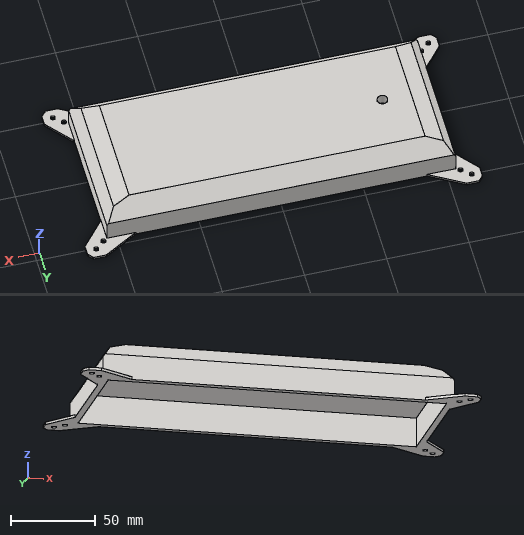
import cadquery as cq

overall_length = 240.2
overall_width = 114.8
overall_height = 25.0

body_length = 212.0
body_width = 90.3

side_bevel = 10.0

end_wall_height = 13.5
end_knee_height = 21.5
end_knee_inset = 5.8
end_top_inset = 16.0

wall_thickness = 4.0
cavity_height = 17.8

foot_thickness = 1.7
foot_tip_cut_in = 3.0
foot_tip_cut_down = 3.4
foot_flat_in = 10.5
foot_flat_down = 9.5
foot_reach_in = 31.7
foot_reach_down = 26.5
screw_hole_diameter = 3.0
screw_hole_offsets = [(6.0, 6.0), (11.5, 10.8)]

top_hole_diameter = 6.2
top_hole_x = -72.5
top_hole_y = 2.0


def make_end_profile_prism():
    """Lengthwise profile with two-step bevelled ends, extruded across the width."""
    half_length = body_length / 2
    knee_x = half_length - end_knee_inset
    top_x = half_length - end_top_inset
    return (
        cq.Workplane("XZ")
        .moveTo(-half_length, 0)
        .lineTo(half_length, 0)
        .lineTo(half_length, end_wall_height)
        .lineTo(knee_x, end_knee_height)
        .lineTo(top_x, overall_height)
        .lineTo(-top_x, overall_height)
        .lineTo(-knee_x, end_knee_height)
        .lineTo(-half_length, end_wall_height)
        .close()
        .extrude(body_width / 2, both=True)
    )


def make_side_profile_prism():
    """Crosswise profile with bevelled top edges, extruded along the length."""
    half_width = body_width / 2
    top_y = half_width - side_bevel
    bevel_start = overall_height - side_bevel
    return (
        cq.Workplane("YZ")
        .moveTo(-half_width, 0)
        .lineTo(half_width, 0)
        .lineTo(half_width, bevel_start)
        .lineTo(top_y, overall_height)
        .lineTo(-top_y, overall_height)
        .lineTo(-half_width, bevel_start)
        .close()
        .extrude(body_length / 2, both=True)
    )


def make_foot():
    """Tapered foot with two screw holes at the +X, +Y corner."""
    corner_x = overall_length / 2
    corner_y = overall_width / 2
    wall_x = body_length / 2
    wall_y = body_width / 2
    plate = (
        cq.Workplane("XY")
        .moveTo(corner_x - foot_tip_cut_in, corner_y)
        .lineTo(corner_x - foot_flat_in, corner_y)
        .lineTo(corner_x - foot_reach_in, wall_y)
        .lineTo(corner_x - foot_reach_in, corner_y - foot_reach_down)
        .lineTo(wall_x, corner_y - foot_reach_down)
        .lineTo(corner_x, corner_y - foot_flat_down)
        .lineTo(corner_x, corner_y - foot_tip_cut_down)
        .close()
        .extrude(foot_thickness)
    )
    hole_centres = [(corner_x - inward, corner_y - down) for inward, down in screw_hole_offsets]
    holes = (
        cq.Workplane("XY")
        .pushPoints(hole_centres)
        .circle(screw_hole_diameter / 2)
        .extrude(foot_thickness)
    )
    return plate.cut(holes)


body = make_end_profile_prism().intersect(make_side_profile_prism())

foot = make_foot()
opposite_foot = foot.mirror("YZ")
for corner_foot in (foot, opposite_foot, foot.mirror("XZ"), opposite_foot.mirror("XZ")):
    body = body.union(corner_foot)

cavity = cq.Workplane("XY").box(
    body_length - 2 * wall_thickness,
    body_width - 2 * wall_thickness,
    cavity_height,
    centered=(True, True, False),
)
body = body.cut(cavity)

top_hole = (
    cq.Workplane("XY")
    .center(top_hole_x, top_hole_y)
    .circle(top_hole_diameter / 2)
    .extrude(overall_height)
)
result = body.cut(top_hole)